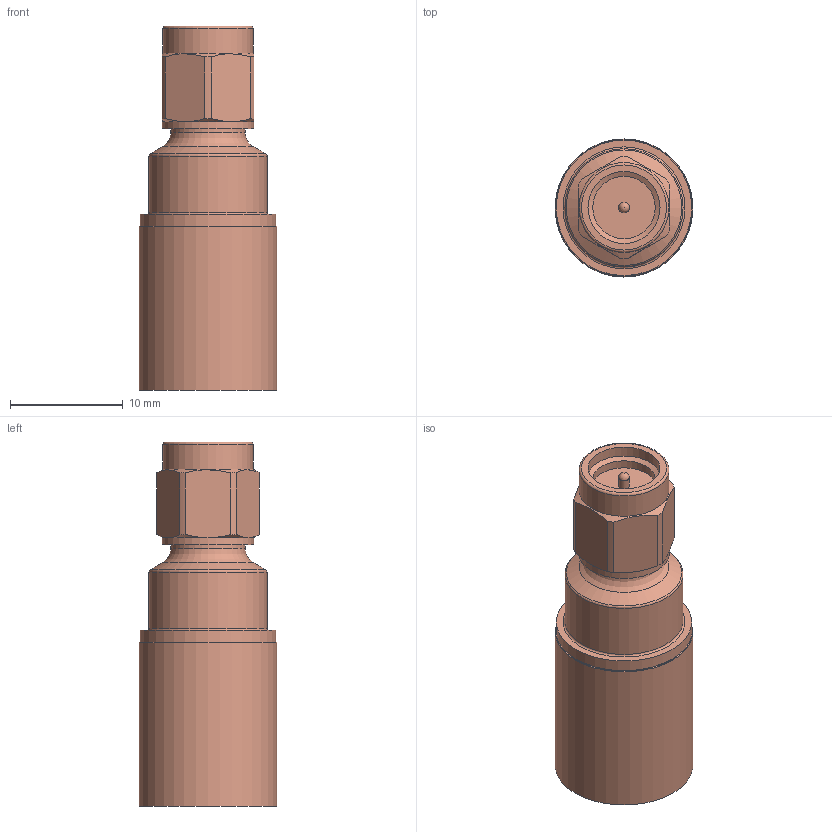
import cadquery as cq
import math

total_height = 32.35
bottom_z = 0.0
body_top_z = 14.55
flange_top_z = 15.6
neck_blend_top_z = 22.85
collar_bottom_z = 23.2
hex_bottom_z = 23.85
hex_top_z = 29.93
top_z = bottom_z + total_height

body_radius = 12.25 / 2
flange_radius = 12.05 / 2
shoulder_radius = 10.5 / 2
neck_radius = 3.3
collar_radius = 8.15 / 2
sleeve_radius = 8.0 / 2

body_edge_chamfer = 0.05
flange_fillet = 0.17
shoulder_fillet = 0.23
neck_blend_radius = 1.4
slope = math.radians(30)
sleeve_fillet = 0.22

hex_sides = 6
hex_half_sector = 180 / hex_sides
hex_across_flats = 2 * collar_radius
hex_across_points = hex_across_flats / math.cos(math.radians(hex_half_sector))
hex_corner_radius = 4.55
hex_lower_chamfer_height = (hex_corner_radius - collar_radius) * math.tan(slope)
hex_upper_chamfer_height = (hex_corner_radius - sleeve_radius) * math.tan(slope)

socket_radius = 3.2
socket_depth = 0.95
inner_socket_radius = 2.78
funnel_depth = (socket_radius - inner_socket_radius) * math.tan(slope)
socket_floor_depth = 1.95
socket_floor_z = top_z - socket_floor_depth
pin_radius = 0.48
pin_length = 1.38
pin_root = 0.5


def make_turned_body():
    """Everything that is round: body, flange, shoulder, neck, collar and sleeve."""
    blend_centre_r = neck_radius + neck_blend_radius
    blend_end_angle = math.pi / 2 - slope
    blend_mid_angle = blend_end_angle / 2

    def blend_point(angle):
        r = blend_centre_r - neck_blend_radius * math.cos(angle)
        z = neck_blend_top_z - neck_blend_radius * math.sin(angle)
        return r, z

    blend_end = blend_point(blend_end_angle)

    fillet_centre_r = shoulder_radius - shoulder_fillet
    cone_outer_r = fillet_centre_r + shoulder_fillet * math.cos(blend_end_angle)
    cone_outer_z = blend_end[1] - (cone_outer_r - blend_end[0]) * math.tan(slope)
    fillet_centre_z = cone_outer_z - shoulder_fillet * math.sin(blend_end_angle)

    def shoulder_point(angle):
        r = fillet_centre_r + shoulder_fillet * math.cos(angle)
        z = fillet_centre_z + shoulder_fillet * math.sin(angle)
        return r, z

    quarter_arc_factor = 1 - math.sqrt(0.5)
    flange_arc_offset = flange_fillet * quarter_arc_factor
    sleeve_arc_offset = sleeve_fillet * quarter_arc_factor

    profile = (
        cq.Workplane("XZ")
        .moveTo(0, bottom_z)
        .lineTo(body_radius, bottom_z)
        .lineTo(body_radius, body_top_z - body_edge_chamfer)
        .lineTo(body_radius - body_edge_chamfer, body_top_z)
        .lineTo(flange_radius, body_top_z)
        .lineTo(flange_radius, flange_top_z)
        .lineTo(shoulder_radius + flange_fillet, flange_top_z)
        .threePointArc(
            (shoulder_radius + flange_arc_offset, flange_top_z + flange_arc_offset),
            (shoulder_radius, flange_top_z + flange_fillet),
        )
        .lineTo(shoulder_radius, fillet_centre_z)
        .threePointArc(shoulder_point(blend_mid_angle), shoulder_point(blend_end_angle))
        .lineTo(*blend_end)
        .threePointArc(blend_point(blend_mid_angle), (neck_radius, neck_blend_top_z))
        .lineTo(neck_radius, collar_bottom_z)
        .lineTo(collar_radius, collar_bottom_z)
        .lineTo(collar_radius, hex_bottom_z)
        .lineTo(sleeve_radius, hex_bottom_z)
        .lineTo(sleeve_radius, top_z - sleeve_fillet)
        .threePointArc(
            (sleeve_radius - sleeve_arc_offset, top_z - sleeve_arc_offset),
            (sleeve_radius - sleeve_fillet, top_z),
        )
        .lineTo(0, top_z)
        .close()
    )
    return profile.revolve(360, (0, 0), (0, 1))


def make_hexagon():
    """Hexagon with flats facing +X and -X, rounded corners and 30 degree end chamfers."""
    hexagon = (
        cq.Workplane("XY")
        .workplane(offset=hex_bottom_z)
        .polygon(hex_sides, hex_across_points)
        .extrude(hex_top_z - hex_bottom_z)
        .rotate((0, 0, 0), (0, 0, 1), hex_half_sector)
    )
    envelope = (
        cq.Workplane("XZ")
        .moveTo(0, hex_bottom_z)
        .lineTo(collar_radius, hex_bottom_z)
        .lineTo(hex_corner_radius, hex_bottom_z + hex_lower_chamfer_height)
        .lineTo(hex_corner_radius, hex_top_z - hex_upper_chamfer_height)
        .lineTo(sleeve_radius, hex_top_z)
        .lineTo(0, hex_top_z)
        .close()
        .revolve(360, (0, 0), (0, 1))
    )
    return hexagon.intersect(envelope)


def make_socket():
    """Stepped round pocket in the top, narrowing through a short funnel."""
    return (
        cq.Workplane("XZ")
        .moveTo(0, socket_floor_z)
        .lineTo(inner_socket_radius, socket_floor_z)
        .lineTo(inner_socket_radius, top_z - socket_depth - funnel_depth)
        .lineTo(socket_radius, top_z - socket_depth)
        .lineTo(socket_radius, top_z)
        .lineTo(0, top_z)
        .close()
        .revolve(360, (0, 0), (0, 1))
    )


def make_pin():
    """Centre contact with a hemispherical tip, rooted below the socket floor."""
    shank_length = pin_length - pin_radius
    shank = (
        cq.Workplane("XY")
        .workplane(offset=socket_floor_z - pin_root)
        .circle(pin_radius)
        .extrude(pin_root + shank_length)
    )
    tip = cq.Workplane("XY").sphere(pin_radius).translate((0, 0, socket_floor_z + shank_length))
    return shank.union(tip)


result = make_turned_body().union(make_hexagon()).cut(make_socket()).union(make_pin())